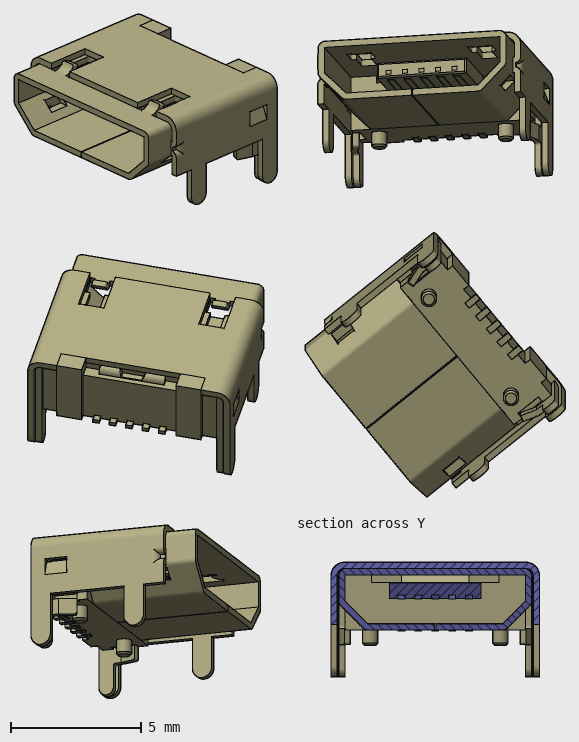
import cadquery as cq
import math


width = 8.0
length = 6.6
sheet = 0.25
side_gap = 0.05

outer_top = 2.61
outer_front = 1.19
outer_skirt_bottom = 0.21
outer_corner = 0.52
outer_half = width / 2
outer_inner_half = outer_half - sheet
leg_tip = -1.79
outer_leg_width = 0.79
front_leg_y = 2.41
front_leg_tip = -1.39
rear_notch_half = 2.85
rear_notch_front = 5.9

inner_half = outer_inner_half - side_gap
inner_top = outer_top - sheet
inner_corner = outer_corner - sheet
bevel_start = 1.01
bevel_bend = 0.25
cavity_half = inner_half - sheet
cavity_top = inner_top - sheet
tube_end = 4.5
seam = 0.04
inner_leg_front = 5.91
inner_leg_width = 0.6
inner_rear = inner_leg_front + inner_leg_width
bevel_angle = math.radians(45)
bevel_window_low = 0.51
bevel_window_high = 0.9

fold_half = 1.29
fold_tip = 1.83
groove_floor = 2.16
groove_top_half = 0.5
groove_floor_half = 0.41

latch_x = 2.38
outer_slot_width = 1.01
outer_slot_end = 3.0
latch_window_width = 0.96
latch_window_end = 2.02
latch_neck_width = 0.58
latch_width = 0.58
latch_radius = 0.43
latch_angle = math.radians(74)
latch_tip_round = 0.08
window_round = 0.06

hook_bottom = -0.56
hook_top = 0.06
hook_front = 4.9
hook_bend = 5.57
hook_shift = 0.22
hook_round = 0.1
hook_slope = math.atan(hook_shift / (hook_bend - hook_front))

lance_front = 5.14
lance_rear = 6.03
press_low = 0.98
press_high = 1.61
lance_tip = 1.54
lance_depth = 0.22
dimple_length = 0.45
dimple_floor_length = 0.19
dimple_floor_height = 0.16
dimple_depth = 0.21

housing_rear = 6.35
ear_inner = 1.86
tongue_half = 1.76
tongue_bottom = 1.21
tongue_top = 1.81
tongue_front = 1.6
tongue_chamfer = 0.06
recess_half = 2.45
recess_floor = 1.83
recess_end = 5.62
flank_relief_half = 3.2
flank_relief_top = 0.32
peg_x = 2.5
peg_y = 5.14
peg_diameter = 0.59
peg_length = 0.58
peg_chamfer = 0.08

contact_count = 5
contact_pitch = 0.65
contact_width = 0.26
contact_tip_width = 0.2
contact_thickness = 0.15
contact_blade_bottom = 1.18
contact_tail_bottom = -0.03
contact_jog = 1.92
contact_riser = 6.05

SIDES = (-1, 1)
pick_margin = 0.01


def box(x0, x1, y0, y1, z0, z1):
    """Block between two opposite corners, whichever way round the X limits are."""
    return cq.Workplane("XY").box(
        abs(x1 - x0), y1 - y0, z1 - z0, centered=False
    ).translate((min(x0, x1), y0, z0))


def mid_box(center_x, size_x, y0, y1, z0, z1):
    """Block centred on a given X."""
    return box(center_x - size_x / 2, center_x + size_x / 2, y0, y1, z0, z1)


def along_y(y0, y1, points):
    """Prism with an XZ outline, running from y0 to y1."""
    return cq.Workplane("XZ", origin=(0, y0, 0)).polyline(points).close().extrude(y0 - y1)


def leg(x0, x1, center_y, leg_width, top, tip):
    """Flat through-board leg with a full round end."""
    radius = leg_width / 2
    start = cq.Workplane("YZ", origin=(min(x0, x1), 0, 0)).moveTo(center_y - radius, top)
    outline = (
        start.lineTo(center_y - radius, tip + radius)
        .threePointArc((center_y, tip), (center_y + radius, tip + radius))
        .lineTo(center_y + radius, top)
        .close()
    )
    return outline.extrude(abs(x1 - x0))


def side_lance(side):
    """Strip of the side wall, hinged at its lower edge and leaning inwards."""
    points = [
        (side * outer_half, press_low),
        (side * (outer_half - lance_depth), lance_tip),
        (side * (outer_inner_half - lance_depth), lance_tip),
        (side * outer_inner_half, press_low),
    ]
    return along_y(lance_front, lance_rear, points)


def dimple_arc(start, end):
    """Middle point and end of an arc that leaves the flat wall tangentially at start.

    Points are (distance along the wall, depth), with start at zero depth.
    """
    run = end[0] - start[0]
    depth = end[1]
    radius = (run ** 2 + depth ** 2) / (2 * depth)
    half_angle = math.atan(depth / abs(run))
    middle = (
        start[0] + math.copysign(radius * math.sin(half_angle), run),
        radius * (1 - math.cos(half_angle)),
    )
    return middle, end


def dimple(side):
    """Dent in the side wall with rolled edges, open at the front."""
    half_height = (press_high - press_low) / 2
    half_floor = dimple_floor_height / 2
    middle_z = (press_low + press_high) / 2

    across = cq.Plane((side * outer_half, outer_front, middle_z), xDir=(0, 0, 1), normal=(0, -side, 0))
    fall = dimple_arc((-half_height, 0), (-half_floor, dimple_depth))
    rise_middle = (-fall[0][0], fall[0][1])
    height_profile = (
        cq.Workplane(across).moveTo(-half_height, 0).threePointArc(*fall)
        .lineTo(half_floor, dimple_depth).threePointArc(rise_middle, (half_height, 0))
        .close().extrude(-side * dimple_length)
    )
    along = cq.Plane((side * outer_half, outer_front, press_low), xDir=(0, 1, 0), normal=(0, 0, side))
    back = dimple_arc((dimple_length, 0), (dimple_floor_length, dimple_depth))
    length_profile = (
        cq.Workplane(along).moveTo(dimple_length, 0).threePointArc(*back)
        .lineTo(0, dimple_depth).lineTo(0, 0)
        .close().extrude(side * (press_high - press_low))
    )
    return height_profile.intersect(length_profile)


def make_outer_shell():
    """Bent sheet cover with four board legs, latch slots, lances and dimples."""
    shell = box(-outer_half, outer_half, outer_front, length, outer_skirt_bottom, outer_top)
    shell = shell.edges("|Y and >Z").fillet(outer_corner)
    hollow = box(-outer_inner_half, outer_inner_half, outer_front, length, outer_skirt_bottom, inner_top)
    shell = shell.cut(hollow.edges("|Y and >Z").fillet(inner_corner))
    shell = shell.cut(mid_box(0, 2 * rear_notch_half, rear_notch_front, length, inner_top, outer_top))
    for side in SIDES:
        wall = (side * outer_inner_half, side * outer_half)
        shell = shell.union(
            leg(*wall, length - outer_leg_width / 2, outer_leg_width, outer_skirt_bottom, leg_tip)
        )
        shell = shell.union(
            leg(*wall, front_leg_y, outer_leg_width, outer_skirt_bottom, front_leg_tip)
        )
        shell = shell.cut(
            mid_box(side * latch_x, outer_slot_width, outer_front, outer_slot_end, inner_top, outer_top)
        )
        shell = shell.cut(box(*wall, lance_front, lance_rear, press_low, press_high))
        shell = shell.union(side_lance(side))
        pad = box(
            side * inner_half, side * outer_inner_half,
            outer_front, outer_front + dimple_length, press_low, press_high,
        )
        shell = shell.union(pad).cut(dimple(side))
    return shell


def tube_profile(half, bottom, top, bevel_height):
    """Outline of the plug opening: a rectangle whose lower corners are cut at 45 degrees."""
    foot = half - (bevel_height - bottom)
    return [
        (-half, top), (half, top), (half, bevel_height),
        (foot, bottom), (-foot, bottom), (-half, bevel_height),
    ]


def latch_arm(center_x):
    """Spring strip curling upwards from the front edge of its window."""
    center_z = inner_top + latch_radius
    far_radius = latch_radius + sheet

    def arc_point(radius, angle):
        return (outer_front + radius * math.sin(angle), center_z - radius * math.cos(angle))

    arm = (
        cq.Workplane("YZ", origin=(center_x - latch_width / 2, 0, 0))
        .moveTo(*arc_point(latch_radius, 0))
        .threePointArc(arc_point(latch_radius, latch_angle / 2), arc_point(latch_radius, latch_angle))
        .lineTo(*arc_point(far_radius, latch_angle))
        .threePointArc(arc_point(far_radius, latch_angle / 2), arc_point(far_radius, 0))
        .close()
        .extrude(latch_width)
    )
    tip_y, tip_z = arc_point(latch_radius + sheet / 2, latch_angle)
    tip_corners = cq.selectors.BoxSelector(
        (center_x - latch_width, tip_y - sheet / 4, tip_z - sheet / 4),
        (center_x + latch_width, tip_y + sheet / 4, tip_z + sheet / 4),
    )
    return arm.edges(tip_corners).fillet(latch_tip_round)


def latch_window(center_x):
    """Wide opening round the latch, with a narrow neck running to the rear."""
    wide = mid_box(center_x, latch_window_width, outer_front, latch_window_end, cavity_top, inner_top)
    wide = wide.edges("|Z and >Y").fillet(window_round)
    neck = mid_box(center_x, latch_neck_width, outer_front, outer_slot_end, cavity_top, inner_top)
    return wide.union(neck.edges("|Z and >Y").fillet(window_round))


def board_hook(side):
    """Tab running forward from the rear leg and bent inwards."""
    outer_x = side * inner_half
    inner_x = side * cavity_half
    tip_x = side * (inner_half - hook_shift)
    points = [
        (outer_x, inner_leg_front),
        (outer_x, hook_bend),
        (tip_x, hook_front),
        (tip_x - side * sheet * math.cos(hook_slope), hook_front + sheet * math.sin(hook_slope)),
        (inner_x, hook_bend + sheet * math.tan(hook_slope / 2)),
        (inner_x, inner_leg_front),
    ]
    hook = (
        cq.Workplane("XY", origin=(0, 0, hook_bottom))
        .polyline(points).close().extrude(hook_top - hook_bottom)
    )
    end_edge = cq.selectors.BoxSelector(
        (tip_x - side * 2 * sheet, hook_front - pick_margin, hook_bottom - pick_margin),
        (tip_x + side * sheet, hook_front + sheet / 2, hook_bottom + pick_margin),
    )
    return hook.faces("<Z").edges(end_edge).fillet(hook_round)


def folded_tongue():
    """Strip continuing the top plate, folded down and forwards round a sharp inner corner."""
    fold_y = rear_notch_front
    tip_y = fold_y - (cavity_top - fold_tip)
    offset = sheet * math.sqrt(0.5)
    strip = (
        cq.Workplane("YZ", origin=(-fold_half, 0, 0))
        .moveTo(fold_y, inner_top)
        .threePointArc((fold_y + sheet, cavity_top), (fold_y + offset, cavity_top - offset))
        .lineTo(tip_y + offset, fold_tip - offset)
        .lineTo(tip_y, fold_tip)
        .lineTo(fold_y, cavity_top)
        .close()
        .extrude(2 * fold_half)
    )
    groove = [
        (-groove_floor_half, groove_floor), (groove_floor_half, groove_floor),
        (groove_top_half, inner_top), (-groove_top_half, inner_top),
    ]
    return strip.cut(along_y(fold_y, fold_y + sheet, groove))


def make_inner_shell():
    """Plug tube with its rear side walls, legs, hooks and spring latches."""
    cavity_bevel = bevel_start + sheet * math.tan(bevel_angle / 2)
    tube = along_y(0, tube_end, tube_profile(inner_half, 0, inner_top, bevel_start))
    tube = tube.edges("|Y and >Z").fillet(inner_corner)
    bevel_edges = cq.selectors.BoxSelector(
        (-width, -length, -sheet), (width, length, bevel_start + sheet)
    )
    tube = tube.edges("|Y").edges(bevel_edges).fillet(bevel_bend)
    shell = tube.cut(along_y(0, tube_end, tube_profile(cavity_half, sheet, cavity_top, cavity_bevel)))
    shell = shell.cut(mid_box(0, seam, 0, tube_end, 0, sheet))

    rear = box(-inner_half, inner_half, tube_end, inner_rear, bevel_start, inner_top)
    rear = rear.edges("|Y and >Z").fillet(inner_corner)
    rear = rear.cut(box(-cavity_half, cavity_half, tube_end, inner_rear, bevel_start, cavity_top))
    rear = rear.cut(mid_box(0, 2 * cavity_half, rear_notch_front, inner_rear, cavity_top, inner_top))
    shell = shell.union(rear).union(folded_tongue())

    leg_middle = inner_leg_front + inner_leg_width / 2
    bevel_foot = inner_half - bevel_start
    for side in SIDES:
        wall = (side * cavity_half, side * inner_half)
        shell = shell.union(leg(*wall, leg_middle, inner_leg_width, bevel_start, leg_tip))
        shell = shell.union(board_hook(side))
        roots = cq.selectors.BoxSelector(
            (wall[0] - 2 * sheet, inner_leg_front - pick_margin, hook_bottom - pick_margin),
            (wall[0] + 2 * sheet, inner_leg_front + pick_margin, hook_top + pick_margin),
        )
        shell = shell.edges(roots).edges("|X").fillet(hook_round)
        shell = shell.cut(box(*wall, lance_front, inner_leg_front, bevel_start, press_high))
        shell = shell.cut(side_lance(side))
        bevel_window = box(
            side * bevel_foot, side * inner_half,
            outer_front, latch_window_end, bevel_window_low, bevel_window_high,
        )
        shell = shell.cut(bevel_window)
        shell = shell.cut(latch_window(side * latch_x)).union(latch_arm(side * latch_x))
    return shell


def make_housing(contacts):
    """Insulator with contact tongue, rear ears and locating pegs, fitted round the contacts."""
    body = box(-cavity_half, cavity_half, tube_end, housing_rear, 0, cavity_top)

    body = body.cut(mid_box(0, 2 * recess_half, tube_end, recess_end, recess_floor, cavity_top))
    body = body.cut(mid_box(0, 2 * fold_half, recess_end, rear_notch_front, fold_tip, cavity_top))
    body = body.cut(folded_tongue())

    tongue = mid_box(0, 2 * tongue_half, tongue_front, tube_end, tongue_bottom, tongue_top)
    body = body.union(tongue.faces("<Y").edges().chamfer(tongue_chamfer))

    for side in SIDES:
        body = body.union(
            box(side * ear_inner, side * rear_notch_half, rear_notch_front, length, 0, outer_top)
        )
        body = body.cut(
            box(side * flank_relief_half, side * cavity_half, hook_front, inner_leg_front, 0, flank_relief_top)
        )
        peg = (
            cq.Workplane("XY", origin=(side * peg_x, peg_y, 0))
            .circle(peg_diameter / 2).extrude(-peg_length)
            .faces("<Z").chamfer(peg_chamfer)
        )
        body = body.union(peg)
    for contact in contacts:
        body = body.cut(contact)
    return body


def make_contact(x):
    """Contact stepping from the tongue's front down to its board tail at the rear."""
    blade_top = contact_blade_bottom + contact_thickness
    tip_top = blade_top + contact_thickness
    tail_top = contact_tail_bottom + contact_thickness
    tip = mid_box(x, contact_tip_width, tongue_front, contact_jog + contact_thickness, blade_top, tip_top)
    blade = mid_box(
        x, contact_width, contact_jog, contact_riser + contact_thickness, contact_blade_bottom, blade_top
    )
    riser = mid_box(
        x, contact_width, contact_riser, contact_riser + contact_thickness, contact_tail_bottom, blade_top
    )
    tail = mid_box(x, contact_width, contact_riser, length, contact_tail_bottom, tail_top)
    return blade.union(tip).union(riser).union(tail)


first_contact_x = -contact_pitch * (contact_count - 1) / 2
contacts = [make_contact(first_contact_x + i * contact_pitch) for i in range(contact_count)]
outer_shell = make_outer_shell()
inner_shell = make_inner_shell()
housing = make_housing(contacts)

result = cq.Compound.makeCompound(
    [outer_shell.val(), inner_shell.val(), housing.val(), *[contact.val() for contact in contacts]]
)